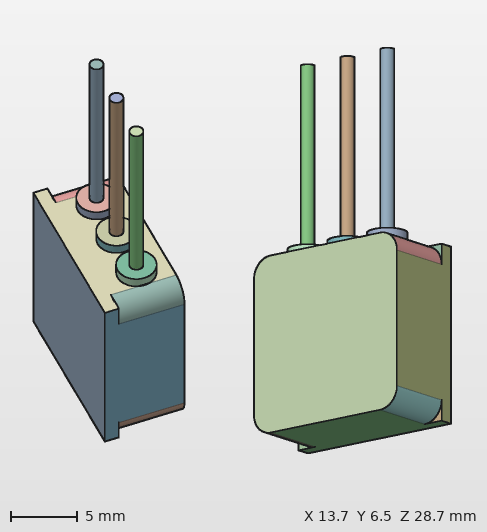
import cadquery as cq

body_side = 13.72
body_depth = 6.5
plate_thickness = 1.15
corner_radius = 1.6

total_height = 28.7
pin_count = 3
pin_pitch = 3.82
pin_diameter = 1.05
collar_diameter = 3.05
collar_height = 0.77
pin_row_y = 3.85
pin_length = total_height - body_side


def make_body():
    """Square plate at the front (Y = 0) with the rounded block running back to +Y."""
    plate = cq.Workplane("XY").box(
        body_side, plate_thickness, body_side, centered=(True, False, False)
    )
    block = (
        cq.Workplane("XY")
        .box(body_side, body_depth, body_side, centered=(True, False, False))
        .edges("|Y")
        .fillet(corner_radius)
    )
    return plate.union(block)


def make_pin(x):
    """Pin and its collar, both starting at the top face of the body."""
    base = cq.Workplane("XY", origin=(x, pin_row_y, body_side))
    collar = base.circle(collar_diameter / 2).extrude(collar_height)
    pin = base.circle(pin_diameter / 2).extrude(pin_length)
    return collar.union(pin)


result = make_body()
for index in range(pin_count):
    pin_x = (index - (pin_count - 1) / 2) * pin_pitch
    result = result.union(make_pin(pin_x))